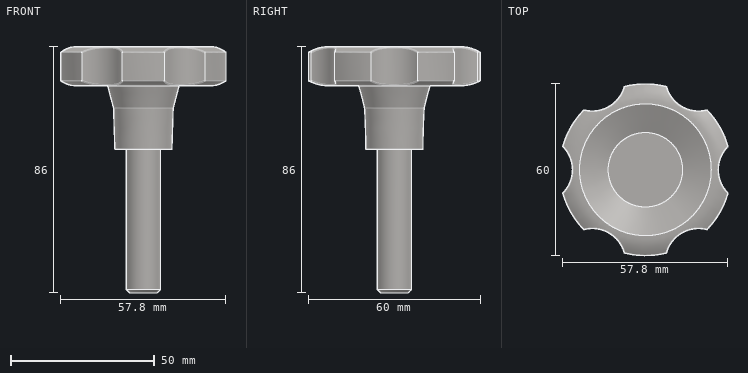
import cadquery as cq
import math

head_radius = 30.0
head_height = 13.75
upper_shoulder_height = 2.0
lower_shoulder_height = 1.75
shoulder_radius = 23.0
dish_floor_radius = 13.0
dish_depth = 4.0
outline_fillet = 0.3

scallop_count = 6
scallop_depth = 4.5
scallop_corner_span = 57.75

hub_height = 22.25
hub_end_radius = 10.0
hub_waist_radius = 10.45
hub_waist_height = 14.5
hub_root_radius = 12.5
hub_end_fillet = 0.4

stud_radius = 6.0
stud_length = 50.0
stud_chamfer = 1.2

head_bottom = hub_height
head_top = head_bottom + head_height


def tangent_arc_middle(flat_radius, end_radius, flat_z, end_z):
    """Middle point of an arc that leaves flat_radius horizontally and reaches (end_radius, end_z)."""
    run = end_radius - flat_radius
    rise = end_z - flat_z
    radius = (run**2 + rise**2) / (2 * abs(rise))
    half_angle = math.atan2(abs(rise), abs(run))
    middle_run = math.copysign(radius * math.sin(half_angle), run)
    middle_rise = math.copysign(radius * (1 - math.cos(half_angle)), rise)
    return (flat_radius + middle_run, flat_z + middle_rise)


def revolve_about_z(profile):
    return profile.revolve(360, (0, 0, 0), (0, 1, 0))


def make_head():
    """Round head with curved shoulders and a conical dish in its top."""
    dish_floor_z = head_top - dish_depth
    lower_rim_z = head_bottom + lower_shoulder_height
    upper_rim_z = head_top - upper_shoulder_height
    lower_middle = tangent_arc_middle(shoulder_radius, head_radius, head_bottom, lower_rim_z)
    upper_middle = tangent_arc_middle(shoulder_radius, head_radius, head_top, upper_rim_z)
    profile = (
        cq.Workplane("XZ")
        .moveTo(0, head_bottom)
        .lineTo(shoulder_radius, head_bottom)
        .threePointArc(lower_middle, (head_radius, lower_rim_z))
        .lineTo(head_radius, upper_rim_z)
        .threePointArc(upper_middle, (shoulder_radius, head_top))
        .lineTo(dish_floor_radius, dish_floor_z)
        .lineTo(0, dish_floor_z)
        .close()
    )
    return revolve_about_z(profile)


def cut_scallops(head):
    scallop_bottom_x = head_radius - scallop_depth
    corner_x = scallop_corner_span / 2
    half_chord = math.sqrt(head_radius**2 - corner_x**2)
    sag = corner_x - scallop_bottom_x
    scallop_radius = (half_chord**2 + sag**2) / (2 * sag)
    cutters = (
        cq.Workplane("XY", origin=(0, 0, head_bottom))
        .polarArray(scallop_bottom_x + scallop_radius, 0, 360, scallop_count)
        .circle(scallop_radius)
        .extrude(head_height)
    )
    return head.cut(cutters)


def round_outline(head):
    """Round the edges where the rim and the scallops run out into the curved shoulders."""
    return head.faces("%CYLINDER").edges("not(|Z)").fillet(outline_fillet)


def make_hub():
    """Slightly tapered sleeve with a steeper cone that flares out to the head."""
    profile = (
        cq.Workplane("XZ")
        .lineTo(hub_end_radius, 0)
        .lineTo(hub_waist_radius, hub_waist_height)
        .lineTo(hub_root_radius, head_bottom)
        .lineTo(0, head_bottom)
        .close()
    )
    hub = revolve_about_z(profile)
    return hub.faces("<Z").edges().fillet(hub_end_fillet)


def make_stud():
    stud = cq.Workplane("XY").circle(stud_radius).extrude(-stud_length)
    return stud.faces("<Z").chamfer(stud_chamfer)


head = round_outline(cut_scallops(make_head()))
result = head.union(make_hub()).union(make_stud())